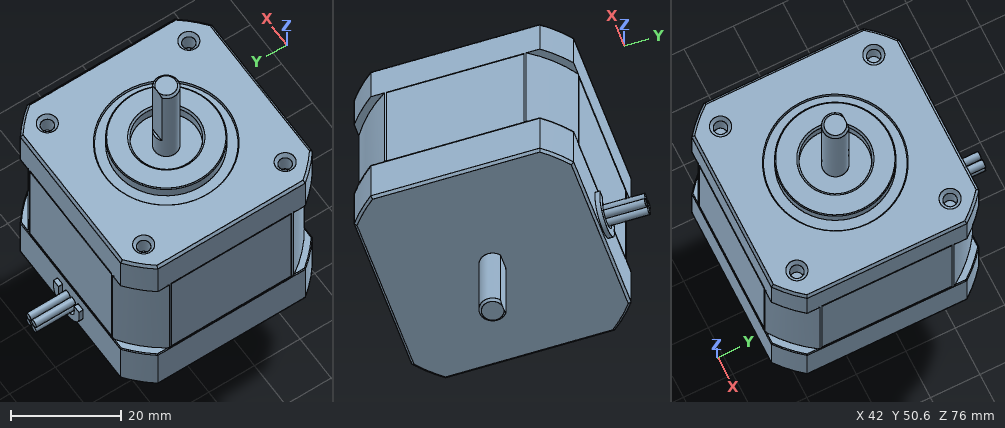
import cadquery as cq


frame_width = 42.0
body_height = 41.0
front_cap_height = 8.4
rear_cap_height = 10.5
stator_height = body_height - front_cap_height - rear_cap_height
cap_corner_diameter = 53.0
stator_corner_diameter = 50.0
cap_edge_chamfer = 0.5
rear_cap_joint_chamfer = 0.2
stator_panel_width = 26.3
stator_panel_depth = 0.1

pilot_diameter = 22.0
pilot_height = 2.0
pilot_chamfer = 0.2
pilot_bore_diameter = 13.2
pilot_bore_depth = 2.7
pilot_bore_chamfer = 0.4
recess_diameter = 26.0
recess_depth = 0.4
recess_rim_width = 0.2

shaft_diameter = 5.0
shaft_front_length = 20.0
shaft_rear_length = 15.0
shaft_chamfer = 0.45
flat_to_axis = 2.0
front_flat_length = 15.4

hole_pitch = 31.0
hole_diameter = 2.6
hole_depth = 4.5
countersink_diameter = 4.0
countersink_depth = 0.7

outlet_z = -35.5
outlet_radius = 4.1
outlet_notch_radius = 2.5
outlet_rise = 2.1
outlet_thickness = 0.9
wire_diameter = 1.6
wire_pitch = 1.75
wire_end_y = 29.6

overlap = 1.0

quarter_turn = 90

half_width = frame_width / 2
outlet_start_y = half_width - overlap


def rounded_square(corner_diameter, height, z_bottom):
    """Square block whose corners are cut by a cylinder on the shaft axis."""
    base = cq.Workplane("XY").workplane(offset=z_bottom)
    block = base.rect(frame_width, frame_width).extrude(height)
    round_bar = base.circle(corner_diameter / 2).extrude(height)
    return block.intersect(round_bar)


def make_stator():
    """Laminated stack with a shallow flat panel on each of its four sides."""
    z_bottom = rear_cap_height - body_height
    stator = rounded_square(stator_corner_diameter, stator_height, z_bottom)
    panel = (
        cq.Workplane("XY")
        .workplane(offset=z_bottom)
        .center(half_width, 0)
        .rect(2 * stator_panel_depth, stator_panel_width)
        .extrude(stator_height)
    )
    for side in range(4):
        stator = stator.cut(panel.rotate((0, 0, 0), (0, 0, 1), quarter_turn * side))
    return stator


def make_housing():
    front_cap = rounded_square(cap_corner_diameter, front_cap_height, -front_cap_height)
    front_cap = front_cap.faces(">Z").edges().chamfer(cap_edge_chamfer)
    rear_cap = rounded_square(cap_corner_diameter, rear_cap_height, -body_height)
    rear_cap = rear_cap.faces("<Z").edges().chamfer(cap_edge_chamfer)
    rear_cap = rear_cap.faces(">Z").edges().chamfer(rear_cap_joint_chamfer)
    return make_stator().union(front_cap).union(rear_cap)


def cut_recess(body):
    """Shallow round recess with a sloped rim in the mounting face."""
    recess = (
        cq.Workplane("XY")
        .workplane(offset=-recess_depth)
        .circle(recess_diameter / 2)
        .workplane(offset=recess_depth)
        .circle(recess_diameter / 2 + recess_rim_width)
        .loft(ruled=True)
    )
    return body.cut(recess)


def add_pilot(body):
    """Pilot boss rising from the recess floor, bored around the shaft."""
    pilot = (
        cq.Workplane("XY")
        .workplane(offset=-overlap)
        .circle(pilot_diameter / 2)
        .extrude(pilot_height + overlap)
        .faces(">Z")
        .edges()
        .chamfer(pilot_chamfer)
    )
    bore = (
        cq.Workplane("XY")
        .workplane(offset=pilot_height)
        .circle(pilot_bore_diameter / 2)
        .extrude(-pilot_bore_depth)
    )
    bore_rim = (
        cq.Workplane("XY")
        .workplane(offset=pilot_height - pilot_bore_chamfer)
        .circle(pilot_bore_diameter / 2)
        .workplane(offset=pilot_bore_chamfer)
        .circle(pilot_bore_diameter / 2 + pilot_bore_chamfer)
        .loft(ruled=True)
    )
    return body.union(pilot).cut(bore).cut(bore_rim)


def shaft_flat(z_start, length):
    """Block that cuts a D-flat on the +Y side of the shaft."""
    return (
        cq.Workplane("XY")
        .workplane(offset=z_start)
        .center(0, flat_to_axis + shaft_diameter / 2)
        .rect(2 * shaft_diameter, shaft_diameter)
        .extrude(length)
    )


def make_shaft():
    z_bottom = -body_height - shaft_rear_length
    shaft = (
        cq.Workplane("XY")
        .workplane(offset=z_bottom)
        .circle(shaft_diameter / 2)
        .extrude(shaft_front_length - z_bottom)
        .faces("<Z or >Z")
        .edges()
        .chamfer(shaft_chamfer)
    )
    front_flat = shaft_flat(shaft_front_length - front_flat_length, front_flat_length)
    rear_flat = shaft_flat(z_bottom, shaft_rear_length)
    return shaft.cut(front_flat).cut(rear_flat)


def cut_mounting_holes(body):
    holes = (
        cq.Workplane("XY")
        .rect(hole_pitch, hole_pitch, forConstruction=True)
        .vertices()
        .circle(hole_diameter / 2)
        .extrude(-hole_depth)
    )
    body = body.cut(holes)
    cone = cq.Solid.makeCone(hole_diameter / 2, countersink_diameter / 2, countersink_depth)
    for x_sign in (-1, 1):
        for y_sign in (-1, 1):
            position = cq.Vector(x_sign * hole_pitch / 2, y_sign * hole_pitch / 2, -countersink_depth)
            body = body.cut(cq.Workplane(cone.translate(position)))
    return body


def u_prism(radius, rise):
    """U-shaped prism running along +Y: half-round below, straight above."""
    return (
        cq.Workplane("XZ", origin=(0, outlet_start_y, outlet_z))
        .moveTo(-radius, rise)
        .lineTo(-radius, 0)
        .threePointArc((0, -radius), (radius, 0))
        .lineTo(radius, rise)
        .close()
        .extrude(-(overlap + outlet_thickness))
    )


def make_outlet():
    """U-shaped grommet, open upward, with four wires in its notch."""
    outlet = u_prism(outlet_radius, outlet_rise).cut(u_prism(outlet_notch_radius, outlet_rise))
    wires = (
        cq.Workplane("XZ", origin=(0, outlet_start_y, outlet_z))
        .rarray(wire_pitch, wire_pitch, 2, 2)
        .circle(wire_diameter / 2)
        .extrude(outlet_start_y - wire_end_y)
    )
    return outlet.union(wires)


motor = add_pilot(cut_recess(make_housing()))
motor = cut_mounting_holes(motor)
result = motor.union(make_shaft()).union(make_outlet())